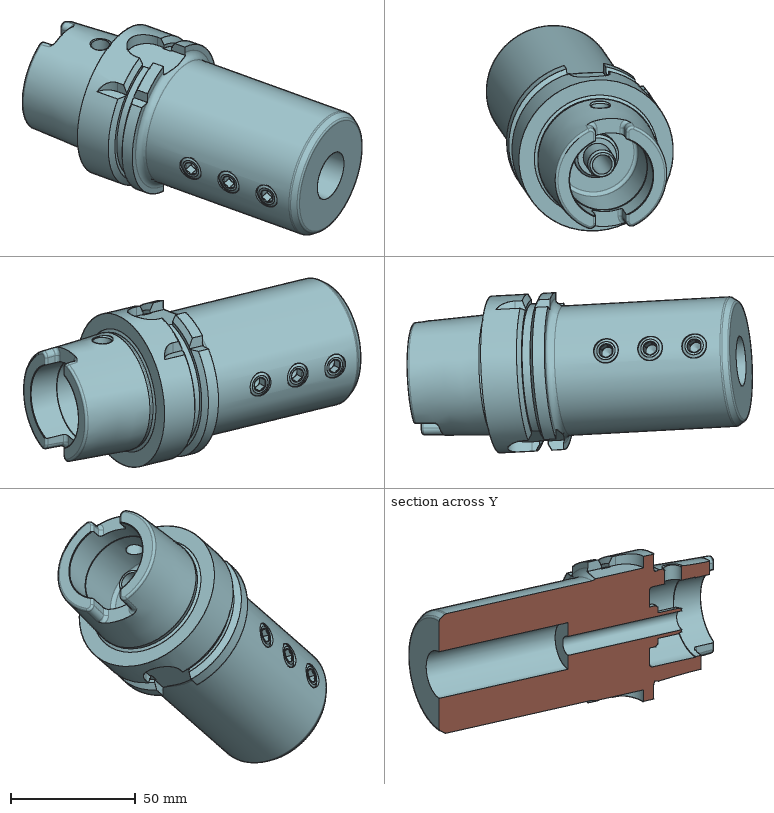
import cadquery as cq
import math


TAPER_LENGTH = 32.0
TAPER_GAUGE_DIAMETER = 48.0
TAPER_GAUGE_X = -6.3
TAPER_RATIO = 1 / 9.98
TAPER_END_X = -2.2
END_ROUND = 1.0
UNDERCUT_RADIUS = 23.9
UNDERCUT_START_X = -1.2
UNDERCUT_END_X = -0.5
UNDERCUT_RIM_RADIUS = 25.2

FLANGE_RADIUS = 31.5
FLANGE_LENGTH = 26.0
GROOVE_CENTER_X = 17.9
GROOVE_WIDTH = 3.5
GROOVE_RADIUS = 27.5
GROOVE_CHAMFER_DEPTH = 2.6
GROOVE_CHAMFER_WIDTH = GROOVE_CHAMFER_DEPTH * math.tan(math.radians(30))

BODY_LENGTH = 100.0
BODY_RADIUS = 26.0
NECK_FILLET = 3.0
BODY_CHAMFER_LENGTH = 3.0
BODY_CHAMFER_DEPTH = 2.0
BODY_CHAMFER_ROUND = 1.2

DRIVE_SLOT_HALF_WIDTH = 6.2
DRIVE_SLOT_CORNER_ROUND = 2.25
DRIVE_SLOT_FLOOR_ROUND = 1.5
UPPER_SLOT_DEPTH = 6.0
LOWER_SLOT_DEPTH = 10.0

CLAMP_BORE_RADIUS = 34.0 / 2
CLAMP_BORE_DEPTH = 12.7
CLAMP_RELIEF_RADIUS = 34.5 / 2
MOUTH_CHAMFER = 0.25
CLAMP_FLOOR_X = 2.0
CLAMP_FLOOR_FILLET = 1.45
ACCESS_HOLE_DIAMETER = 7.5
ACCESS_HOLE_MOUTH_DIAMETER = 8.8
ACCESS_HOLE_X = -8.9

NUT_RADIUS = 18.0 / 2
NUT_HEIGHT = 4.0
NUT_CHAMFER = 1.1
TUBE_RADIUS = 11.3 / 2
TUBE_TIP_X = -13.0
TUBE_END_RADIUS = 10.0 / 2
TUBE_TAPER_LENGTH = 1.7
COOLANT_HOLE_DIAMETER = 8.0

TOOL_BORE_DIAMETER = 20.0
TOOL_BORE_DEPTH = 60.0
SCREW_XS = (50.0, 68.0, 86.0)
SCREW_DIAMETER = 10.0
SCREW_FACE_DIAMETER = 7.5
SCREW_FACE_RADIUS = 25.7
SOCKET_ACROSS_FLATS = 5.0
SOCKET_CORNER_DIAMETER = SOCKET_ACROSS_FLATS / math.cos(math.radians(30))
SCREW_CHAMFER_LENGTH = 0.7
SOCKET_DEPTH = 4.0
SOCKET_TIP_LENGTH = 1.5

KEYWAY_WIDTH = 16.0
KEYWAY_START_X = 5.0
KEYWAY_FLOOR_Z = 26.5
NOTCH_OFFSET = 20.0
NOTCH_END_RADIUS = 7.5
NOTCH_ARC_CENTER_X = 11.7

TOLERANCE = 0.05


def taper_radius(x):
    return (TAPER_GAUGE_DIAMETER + (x - TAPER_GAUGE_X) * TAPER_RATIO) / 2


TAPER_MIDWALL_RADIUS = (taper_radius(-TAPER_LENGTH) + CLAMP_BORE_RADIUS) / 2


def revolve_about_axis(profile):
    return profile.close().revolve(360, (0, 0, 0), (1, 0, 0))


def cylinder_along_x(radius, start_x, end_x):
    return cq.Workplane("YZ", origin=(start_x, 0, 0)).circle(radius).extrude(end_x - start_x)


def make_outer_body():
    end_x = -TAPER_LENGTH
    groove_left = GROOVE_CENTER_X - GROOVE_WIDTH / 2
    groove_right = GROOVE_CENTER_X + GROOVE_WIDTH / 2
    groove_shoulder = FLANGE_RADIUS - GROOVE_CHAMFER_DEPTH
    arc_offset = NECK_FILLET * (1 - math.cos(math.radians(45)))
    profile = (
        cq.Workplane("XY")
        .moveTo(end_x, 0)
        .lineTo(end_x, taper_radius(end_x))
        .lineTo(TAPER_END_X, taper_radius(TAPER_END_X))
        .lineTo(UNDERCUT_START_X, UNDERCUT_RADIUS)
        .lineTo(UNDERCUT_END_X, UNDERCUT_RADIUS)
        .lineTo(0, UNDERCUT_RIM_RADIUS)
        .lineTo(0, FLANGE_RADIUS)
        .lineTo(groove_left - GROOVE_CHAMFER_WIDTH, FLANGE_RADIUS)
        .lineTo(groove_left, groove_shoulder)
        .lineTo(groove_left, GROOVE_RADIUS)
        .lineTo(groove_right, GROOVE_RADIUS)
        .lineTo(groove_right, groove_shoulder)
        .lineTo(groove_right + GROOVE_CHAMFER_WIDTH, FLANGE_RADIUS)
        .lineTo(FLANGE_LENGTH, FLANGE_RADIUS)
        .lineTo(FLANGE_LENGTH, BODY_RADIUS + NECK_FILLET)
        .threePointArc(
            (FLANGE_LENGTH + arc_offset, BODY_RADIUS + arc_offset),
            (FLANGE_LENGTH + NECK_FILLET, BODY_RADIUS),
        )
        .lineTo(BODY_LENGTH - BODY_CHAMFER_LENGTH, BODY_RADIUS)
        .lineTo(BODY_LENGTH, BODY_RADIUS - BODY_CHAMFER_DEPTH)
        .lineTo(BODY_LENGTH, 0)
    )
    body = revolve_about_axis(profile)
    chamfer_start_x = BODY_LENGTH - BODY_CHAMFER_LENGTH
    chamfer_zone = cq.selectors.BoxSelector(
        (chamfer_start_x - TOLERANCE, -FLANGE_RADIUS, -FLANGE_RADIUS),
        (BODY_LENGTH + TOLERANCE, FLANGE_RADIUS, FLANGE_RADIUS),
    )
    return body.edges(chamfer_zone).edges("%CIRCLE").fillet(BODY_CHAMFER_ROUND)


def make_clamping_bore():
    end_x = -TAPER_LENGTH
    relief_x = end_x + CLAMP_BORE_DEPTH
    bore = (
        cylinder_along_x(CLAMP_RELIEF_RADIUS, relief_x, CLAMP_FLOOR_X)
        .faces(">X")
        .edges()
        .fillet(CLAMP_FLOOR_FILLET)
        .union(cylinder_along_x(CLAMP_BORE_RADIUS, end_x, relief_x))
    )
    nut = cylinder_along_x(NUT_RADIUS, CLAMP_FLOOR_X - NUT_HEIGHT, CLAMP_FLOOR_X)
    nut = nut.faces("<X").chamfer(NUT_CHAMFER)
    tube = revolve_about_axis(
        cq.Workplane("XY")
        .moveTo(TUBE_TIP_X, 0)
        .lineTo(TUBE_TIP_X, TUBE_END_RADIUS)
        .lineTo(TUBE_TIP_X + TUBE_TAPER_LENGTH, TUBE_RADIUS)
        .lineTo(CLAMP_FLOOR_X, TUBE_RADIUS)
        .lineTo(CLAMP_FLOOR_X, 0)
    )
    return bore.cut(nut).cut(tube)


def make_mouth_chamfer():
    return cq.Workplane(
        cq.Solid.makeCone(
            CLAMP_BORE_RADIUS + MOUTH_CHAMFER,
            CLAMP_BORE_RADIUS,
            MOUTH_CHAMFER,
            cq.Vector(-TAPER_LENGTH, 0, 0),
            cq.Vector(1, 0, 0),
        )
    )


def make_drive_slot(depth):
    """Cutter for the +Z drive slot, open at the end of the taper."""
    return (
        cq.Workplane("XY")
        .moveTo(-TAPER_LENGTH, 0)
        .rect(2 * depth, 2 * DRIVE_SLOT_HALF_WIDTH)
        .extrude(FLANGE_RADIUS)
    )


def is_slot_corner(edge):
    """True for the edges where a drive slot wall meets the taper surface."""
    center = edge.Center()
    on_wall = abs(abs(center.y) - DRIVE_SLOT_HALF_WIDTH) < TOLERANCE
    outside_bore = math.hypot(center.y, center.z) > TAPER_MIDWALL_RADIUS
    runs_along_x = edge.BoundingBox().xlen > UPPER_SLOT_DEPTH / 2
    return on_wall and outside_bore and runs_along_x and center.x < LOWER_SLOT_DEPTH - TAPER_LENGTH


def is_end_outline(edge):
    """True for the end face edges that are not part of the bore mouth."""
    return edge.geomType() != "CIRCLE" or abs(edge.radius() - CLAMP_BORE_RADIUS) > TOLERANCE


def is_slot_floor_side(edge):
    """True for the slot floor edges that run up the slot walls and around their rounded corners."""
    center = edge.Center()
    beside_floor = abs(center.y) > DRIVE_SLOT_HALF_WIDTH - TOLERANCE
    inside_taper = math.hypot(center.y, center.z) < taper_radius(-TAPER_LENGTH) - END_ROUND / 4
    return beside_floor and inside_taper


def select_slot_floor(depth):
    floor_x = depth - TAPER_LENGTH
    return cq.selectors.BoxSelector(
        (floor_x - TOLERANCE, -DRIVE_SLOT_HALF_WIDTH, -FLANGE_RADIUS),
        (floor_x + TOLERANCE, DRIVE_SLOT_HALF_WIDTH, FLANGE_RADIUS),
    )


def round_drive_slots(body):
    """Rounds the outer corners of the slot walls, then the taper end, then the slot floors."""
    body = body.edges().filter(is_slot_corner).fillet(DRIVE_SLOT_CORNER_ROUND)
    body = body.faces("<X").edges().filter(is_end_outline).fillet(END_ROUND)
    for depth in (UPPER_SLOT_DEPTH, LOWER_SLOT_DEPTH):
        floor_edges = body.faces(select_slot_floor(depth)).edges()
        body = floor_edges.filter(is_slot_floor_side).fillet(DRIVE_SLOT_FLOOR_ROUND)
    return body


def make_access_hole():
    """Cutter for the countersunk +Z hole through the taper wall."""
    mouth_radius = ACCESS_HOLE_MOUTH_DIAMETER / 2
    hole_radius = ACCESS_HOLE_DIAMETER / 2
    surface_z = taper_radius(ACCESS_HOLE_X)
    countersink = cq.Solid.makeCone(
        hole_radius,
        mouth_radius,
        mouth_radius - hole_radius,
        cq.Vector(ACCESS_HOLE_X, 0, surface_z - mouth_radius + hole_radius),
        cq.Vector(0, 0, 1),
    )
    hole = (
        cq.Workplane("XY", origin=(ACCESS_HOLE_X, 0, NUT_RADIUS))
        .circle(hole_radius)
        .extrude(surface_z - NUT_RADIUS)
    )
    mouth = (
        cq.Workplane("XY", origin=(ACCESS_HOLE_X, 0, surface_z))
        .circle(mouth_radius)
        .extrude(FLANGE_RADIUS - surface_z)
    )
    return hole.union(cq.Workplane(countersink)).union(mouth)


def make_keyway():
    """Cutter for the +Z flange slot, round at its -X end and open at its +X end."""
    radius = KEYWAY_WIDTH / 2
    center_x = KEYWAY_START_X + radius
    end_x = FLANGE_LENGTH + NECK_FILLET
    return (
        cq.Workplane("XY", origin=(0, 0, KEYWAY_FLOOR_Z))
        .moveTo(end_x, radius)
        .lineTo(center_x, radius)
        .threePointArc((KEYWAY_START_X, 0), (center_x, -radius))
        .lineTo(end_x, -radius)
        .close()
        .extrude(FLANGE_RADIUS)
    )


def make_orientation_notch():
    """Cutter for the stepped notch on the -Y, +Z side of the flange."""
    arc_center_y = -NOTCH_OFFSET - NOTCH_END_RADIUS
    arc_offset = NOTCH_END_RADIUS * math.cos(math.radians(45))
    arc_start_x = NOTCH_ARC_CENTER_X - NOTCH_END_RADIUS
    return (
        cq.Workplane("XY", origin=(0, 0, NOTCH_OFFSET))
        .moveTo(arc_start_x, -FLANGE_RADIUS)
        .lineTo(arc_start_x, arc_center_y)
        .threePointArc(
            (NOTCH_ARC_CENTER_X - arc_offset, arc_center_y + arc_offset),
            (NOTCH_ARC_CENTER_X, -NOTCH_OFFSET),
        )
        .lineTo(FLANGE_LENGTH, -NOTCH_OFFSET)
        .lineTo(FLANGE_LENGTH, -FLANGE_RADIUS)
        .close()
        .extrude(FLANGE_RADIUS)
    )


def make_screw_recess(x):
    """Cutter for the space above a set screw and for its hexagon socket, on the -Y side."""
    recess_bottom = SCREW_FACE_RADIUS - SCREW_CHAMFER_LENGTH
    outward = cq.Vector(0, -1, 0)
    screw_top = cq.Workplane(
        cq.Solid.makeCone(
            SCREW_DIAMETER / 2,
            SCREW_FACE_DIAMETER / 2,
            SCREW_CHAMFER_LENGTH,
            cq.Vector(x, -recess_bottom, 0),
            outward,
        )
    )
    face = cq.Workplane("XZ", origin=(x, -recess_bottom, 0))
    recess = face.circle(SCREW_DIAMETER / 2).extrude(FLANGE_RADIUS - recess_bottom).cut(screw_top)
    socket_floor = SCREW_FACE_RADIUS - SOCKET_DEPTH
    socket = (
        cq.Workplane("XZ", origin=(x, -socket_floor, 0))
        .transformed(rotate=(0, 0, 30))
        .polygon(6, SOCKET_CORNER_DIAMETER)
        .extrude(SOCKET_DEPTH)
    )
    tip = cq.Solid.makeCone(
        SOCKET_ACROSS_FLATS / 2,
        0,
        SOCKET_TIP_LENGTH,
        cq.Vector(x, -socket_floor, 0),
        -outward,
    )
    countersink = cq.Solid.makeCone(
        SOCKET_CORNER_DIAMETER / 2,
        0,
        SOCKET_CORNER_DIAMETER / 2,
        cq.Vector(x, -SCREW_FACE_RADIUS, 0),
        -outward,
    )
    return recess.union(socket).union(cq.Workplane(tip)).union(cq.Workplane(countersink))


result = make_outer_body()
for slot_depth, turn in ((UPPER_SLOT_DEPTH, 0), (LOWER_SLOT_DEPTH, 180)):
    result = result.cut(make_drive_slot(slot_depth).rotate((0, 0, 0), (1, 0, 0), turn))
    result = result.cut(make_keyway().rotate((0, 0, 0), (1, 0, 0), turn))
result = result.cut(make_clamping_bore())
result = round_drive_slots(result)
result = result.cut(make_mouth_chamfer())
result = result.cut(make_access_hole())
result = result.cut(make_orientation_notch())
result = result.cut(
    cylinder_along_x(TOOL_BORE_DIAMETER / 2, BODY_LENGTH - TOOL_BORE_DEPTH, BODY_LENGTH)
)
result = result.cut(cylinder_along_x(COOLANT_HOLE_DIAMETER / 2, -TAPER_LENGTH, BODY_LENGTH))
for screw_x in SCREW_XS:
    result = result.cut(make_screw_recess(screw_x))